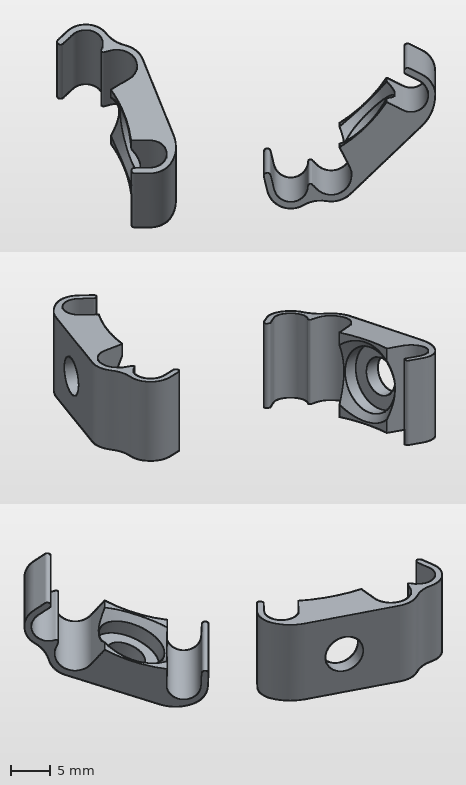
import cadquery as cq
import math


height = 11.43
wall = 0.90
tip_radius = wall / 2

small_seat_radius = 2.19
middle_seat_radius = 2.59
left_center = (-12.076, -6.15)
middle_center = (-7.49, -(middle_seat_radius + wall))
right_center = (7.125, -3.84)

left_arm_lean = 31.5
left_arm_length = 1.85
right_arm_lean = 18.0
right_arm_length = 1.85

valley_radius = 4.2
shoulder_radius = 5.65
ridge_radius = 0.30

block_side_lean = 18.0
face_radius = 20.5
face_depth = 4.93

bore_diameter = 5.08
counterbore_diameter = 8.89
counterbore_floor = 2.11
flare_start = 4.02
flare_end = 6.50


def polar(center, radius, angle):
    """Point at a distance and direction from a centre, in degrees from +X."""
    a = math.radians(angle)
    return (center[0] + radius * math.cos(a), center[1] + radius * math.sin(a))


def bearing(start, end):
    """Direction from one point to another, degrees."""
    return math.degrees(math.atan2(end[1] - start[1], end[0] - start[0]))


def circle_crossing(center_a, radius_a, center_b, radius_b):
    """Crossing of two circles that lies to the left when going from a to b."""
    gap = math.dist(center_a, center_b)
    along = (gap ** 2 + radius_a ** 2 - radius_b ** 2) / (2 * gap)
    opening = math.degrees(math.acos(along / radius_a))
    return polar(center_a, radius_a, bearing(center_a, center_b) + opening)


def block_corner(seat_tangent, direction):
    """Where a block side, leaving its seat in a direction, meets the concave face."""
    face_center = (0, -(face_depth + face_radius))
    a = math.radians(direction)
    dx = seat_tangent[0] - face_center[0]
    dy = seat_tangent[1] - face_center[1]
    half_b = dx * math.cos(a) + dy * math.sin(a)
    c = dx ** 2 + dy ** 2 - face_radius ** 2
    length = -half_b - math.sqrt(half_b ** 2 - c)
    return polar(seat_tangent, length, direction)


def arc(profile, center, radius, start_angle, end_angle):
    """Continue the profile along an arc that begins at the current point."""
    middle = polar(center, radius, (start_angle + end_angle) / 2)
    return profile.threePointArc(middle, polar(center, radius, end_angle))


def make_profile():
    """Closed outline of the clip, clockwise from the left end of the flat back."""
    small_shell_radius = small_seat_radius + wall
    middle_shell_radius = middle_seat_radius + wall

    valley_center = circle_crossing(
        left_center, small_shell_radius + valley_radius,
        middle_center, middle_shell_radius + valley_radius,
    )
    valley_to_left = bearing(valley_center, left_center)
    valley_to_middle = bearing(valley_center, middle_center)

    shoulder_offset = shoulder_radius - small_shell_radius
    shoulder_drop = right_center[1] + shoulder_radius
    shoulder_center = (
        right_center[0] - math.sqrt(shoulder_offset ** 2 - shoulder_drop ** 2),
        -shoulder_radius,
    )
    shoulder_end = bearing(shoulder_center, right_center)

    ridge_x = middle_center[0] - middle_seat_radius - ridge_radius
    ridge_reach = small_seat_radius + ridge_radius
    ridge_center = (
        ridge_x,
        left_center[1] + math.sqrt(ridge_reach ** 2 - (ridge_x - left_center[0]) ** 2),
    )
    ridge_to_left = bearing(left_center, ridge_center)

    left_normal = 180 + left_arm_lean
    right_normal = -right_arm_lean
    left_arm_direction = left_normal + 90
    right_arm_direction = right_normal - 90
    arm_mid_radius = small_seat_radius + tip_radius
    left_tip = polar(polar(left_center, arm_mid_radius, left_normal),
                     left_arm_length, left_arm_direction)
    right_tip = polar(polar(right_center, arm_mid_radius, right_normal),
                      right_arm_length, right_arm_direction)

    middle_side_normal = block_side_lean
    right_side_normal = 180 - block_side_lean
    block_left = block_corner(polar(middle_center, middle_seat_radius, middle_side_normal),
                              middle_side_normal - 90)
    block_right = block_corner(polar(right_center, small_seat_radius, right_side_normal),
                               right_side_normal + 90)

    profile = cq.Workplane("XY").moveTo(middle_center[0], 0).lineTo(shoulder_center[0], 0)
    profile = arc(profile, shoulder_center, shoulder_radius, 90, shoulder_end)
    profile = arc(profile, right_center, small_shell_radius, shoulder_end, right_normal)
    profile = profile.lineTo(*polar(right_tip, tip_radius, right_normal))
    profile = arc(profile, right_tip, tip_radius, right_normal, right_normal - 180)

    profile = profile.lineTo(*polar(right_center, small_seat_radius, right_normal))
    profile = arc(profile, right_center, small_seat_radius, right_normal, right_side_normal)
    profile = profile.lineTo(*block_right)
    profile = profile.threePointArc((0, -face_depth), block_left)
    profile = profile.lineTo(*polar(middle_center, middle_seat_radius, middle_side_normal))
    profile = arc(profile, middle_center, middle_seat_radius, middle_side_normal, 180)

    profile = profile.lineTo(*polar(ridge_center, ridge_radius, 0))
    profile = arc(profile, ridge_center, ridge_radius, 0, ridge_to_left - 180)
    profile = arc(profile, left_center, small_seat_radius, ridge_to_left, left_normal)
    profile = profile.lineTo(*polar(left_tip, tip_radius, left_normal - 180))
    profile = arc(profile, left_tip, tip_radius, left_normal + 180, left_normal)
    profile = profile.lineTo(*polar(left_center, small_shell_radius, left_normal))

    profile = arc(profile, left_center, small_shell_radius, left_normal, valley_to_left + 180)
    profile = arc(profile, valley_center, valley_radius, valley_to_left, valley_to_middle)
    profile = arc(profile, middle_center, middle_shell_radius, valley_to_middle + 180, 90)
    return profile.close()


def make_screw_hole():
    """Bore, counterbore and 45 degree flare, revolved about the Y axis."""
    bore_radius = bore_diameter / 2
    counterbore_radius = counterbore_diameter / 2
    flare_radius = counterbore_radius + flare_end - flare_start
    outline = [
        (0, 0),
        (bore_radius, 0),
        (bore_radius, -counterbore_floor),
        (counterbore_radius, -counterbore_floor),
        (counterbore_radius, -flare_start),
        (flare_radius, -flare_end),
        (0, -flare_end),
    ]
    return cq.Workplane("XY").polyline(outline).close().revolve(360, (0, 0, 0), (0, 1, 0))


body = make_profile().extrude(height / 2, both=True)
result = body.cut(make_screw_hole())